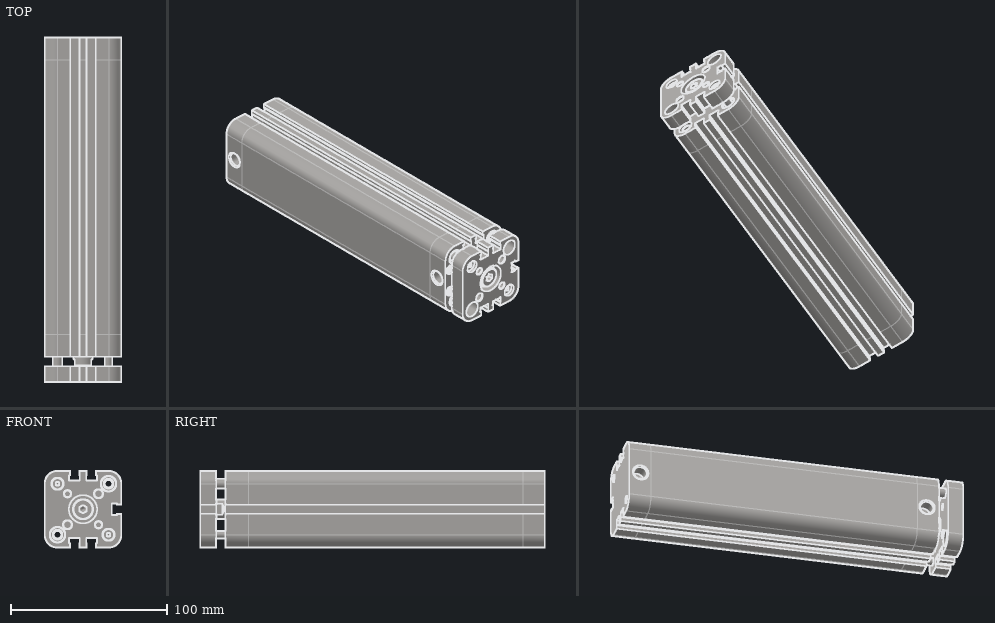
import cadquery as cq
import math

length = 220.2
side = 49.0
corner_radius = 8.1
half_length = length / 2
half_side = side / 2

plate_thickness = 10.1
plate_gap = 6.0
front_cap_length = 14.5
rear_cap_length = 14.0
front_face = -half_length
plate_back = front_face + plate_thickness
cap_face = plate_back + plate_gap
front_joint = cap_face + front_cap_length
rear_face = half_length
rear_joint = rear_face - rear_cap_length

slot_mouth = 6.0
slot_depth = 6.2
slot_lip = 2.9
slot_undercut = 0.7
rib_undercut = 0.2
twin_slot_offset = 5.3

corner_offset = 16.3
guide_rod_diameters = {(-1, 1): 6.4, (1, -1): 5.0}
tie_bolt_corners = [(1, 1), (-1, -1)]

rod_seal_diameter = 9.5
rod_seal_depth = 1.0
plate_screw_bore = 8.0
plate_screw_bore_depth = 4.5
plate_screw_head = 7.0
plate_screw_recess = 1.8
plate_screw_socket = 2.5
plate_screw_socket_depth = 1.8

access_hole = 10.1
bolt_bore = 9.5
bolt_bore_depth = 4.5
bolt_head = 6.4
bolt_recess = 1.0
bolt_hole = 4.8

cap_screw_x = -20.3
cap_screw_z = 8.1
cap_screw_bore = 6.4
cap_screw_bore_depth = 3.3
cap_screw_head = 5.0
cap_screw_recess = 1.0
cap_screw_socket = 2.5
cap_screw_socket_depth = 1.3

small_hole_offset = 10.0
small_hole_diameters = {(-1, 1): 4.2, (1, -1): 4.2, (1, 1): 5.3, (-1, -1): 5.3}
small_hole_countersink = 0.33

rod_diameter = 12.5
rod_across_flats = 10.5
flat_start = 2.0
rod_end_chamfer = 0.5
recess_diameter = 18.0
recess_depth = 6.5
screw_head = 13.0
screw_head_recess = 1.0
screw_head_chamfer = 0.5
screw_socket = 4.6
screw_socket_depth = 3.3
drill_tip_angle = math.radians(118)

port_diameter = 8.5
port_chamfer = 0.9
port_depth = 10.0
port_passage = 2.5
port_passage_depth = 4.5
port_passage_shift = 2.0
front_port_y = front_face + 24.0
rear_port_y = rear_face - 7.5


def corner(signs, offset):
    """X and Z of a point in the corner given by the signs."""
    return signs[0] * offset, signs[1] * offset


def cylinder(diameter, y_start, y_end, x=0.0, z=0.0):
    """Round bar along Y between two stations."""
    base = cq.Vector(x, y_start, z)
    return cq.Workplane(cq.Solid.makeCylinder(diameter / 2, y_end - y_start, base, cq.Vector(0, 1, 0)))


def cone(start_diameter, end_diameter, y_start, y_end, x=0.0, z=0.0):
    """Tapered round bar along Y between two stations."""
    base = cq.Vector(x, y_start, z)
    axis = cq.Vector(0, 1, 0)
    return cq.Workplane(cq.Solid.makeCone(start_diameter / 2, end_diameter / 2, y_end - y_start, base, axis))


def hex_socket(across_flats, y_start, depth, x=0.0, z=0.0):
    """Hexagonal recess, corners up and down, ending in a drill point."""
    hex_corner_radius = across_flats / 2 / math.cos(math.pi / 6)
    angles = [math.pi / 6 + i * math.pi / 3 for i in range(6)]
    points = [(hex_corner_radius * math.cos(a), hex_corner_radius * math.sin(a)) for a in angles]
    floor_y = y_start + depth
    tip_length = across_flats / 2 / math.tan(drill_tip_angle / 2)
    prism = cq.Workplane("XZ").polyline(points).close().extrude(-depth).translate((x, y_start, z))
    return prism.union(cone(across_flats, 0, floor_y, floor_y + tip_length, x, z))


def socket_screw_head(diameter, socket, socket_depth, y_face, y_end, x=0.0, z=0.0):
    """Screw head facing -Y with a hexagonal socket."""
    return cylinder(diameter, y_face, y_end, x, z).cut(hex_socket(socket, y_face, socket_depth, x, z))


def slot(left_undercut, right_undercut):
    """T-slot along the full length, opening at the +Z face."""
    half_mouth = slot_mouth / 2
    lip_z = half_side - slot_lip
    floor_z = half_side - slot_depth
    outline = [
        (-half_mouth, half_side),
        (-half_mouth, lip_z),
        (-half_mouth - left_undercut, lip_z),
        (-half_mouth - left_undercut, floor_z),
        (half_mouth + right_undercut, floor_z),
        (half_mouth + right_undercut, lip_z),
        (half_mouth, lip_z),
        (half_mouth, half_side),
    ]
    return cq.Workplane("XZ").polyline(outline).close().extrude(half_length, both=True)


def all_slots():
    """Twin slots on the top and bottom, one single slot on the +X side."""
    right_twin = slot(rib_undercut, slot_undercut).translate((twin_slot_offset, 0, 0))
    top_twins = right_twin.union(right_twin.mirror("YZ"))
    single = slot(slot_undercut, slot_undercut).rotate((0, 0, 0), (0, 1, 0), 90)
    return top_twins.union(top_twins.mirror("XY")).union(single)


def rounded_bar(y_start, y_end):
    """Stretch of the square profile with rounded corners."""
    bar = cq.Workplane("XY").box(side, y_end - y_start, side).edges("|Y").fillet(corner_radius)
    return bar.translate((0, (y_start + y_end) / 2, 0))


def air_port(y, passage_shift):
    """Chamfered port sunk into the -X face, with an off-centre passage in its floor."""
    port = cylinder(port_diameter, 0, port_depth)
    port = port.union(cone(port_diameter + 2 * port_chamfer, port_diameter, 0, port_chamfer))
    port = port.union(cylinder(port_passage, port_depth, port_depth + port_passage_depth, -passage_shift))
    return port.rotate((0, 0, 0), (0, 0, 1), -90).translate((-half_side, y, 0))


def front_plate():
    """Plate with its small holes, access holes, and screws in the centre and over the rods."""
    plate = rounded_bar(front_face, plate_back).cut(all_slots())
    for signs, diameter in small_hole_diameters.items():
        x, z = corner(signs, small_hole_offset)
        rim = diameter + 2 * small_hole_countersink
        plate = plate.cut(cylinder(diameter, front_face, plate_back, x, z))
        plate = plate.cut(cone(rim, diameter, front_face, front_face + small_hole_countersink, x, z))
    for signs in tie_bolt_corners:
        plate = plate.cut(cylinder(access_hole, front_face, plate_back, *corner(signs, corner_offset)))
    for signs in guide_rod_diameters:
        x, z = corner(signs, corner_offset)
        bore_floor = front_face + plate_screw_bore_depth
        head_face = front_face + plate_screw_recess
        plate = plate.cut(cylinder(plate_screw_bore, front_face, bore_floor, x, z))
        plate = plate.union(socket_screw_head(
            plate_screw_head, plate_screw_socket, plate_screw_socket_depth, head_face, bore_floor, x, z))
    recess_floor = front_face + recess_depth
    head_face = front_face + screw_head_recess
    plate = plate.cut(cylinder(recess_diameter, front_face, recess_floor))
    head = socket_screw_head(screw_head, screw_socket, screw_socket_depth, head_face, recess_floor)
    rim_cut = cylinder(screw_head, head_face, head_face + screw_head_chamfer).cut(
        cone(screw_head - 2 * screw_head_chamfer, screw_head, head_face, head_face + screw_head_chamfer))
    return plate.union(head.cut(rim_cut))


def tie_bolt_cut(x, z):
    """Hole along the whole body with a counterbore around the hollow bolt head."""
    bore_floor = cap_face + bolt_bore_depth
    bore = cylinder(bolt_bore, cap_face, bore_floor, x, z)
    head = cylinder(bolt_head, cap_face + bolt_recess, bore_floor, x, z)
    return bore.cut(head).union(cylinder(bolt_hole, cap_face, rear_face, x, z))


def cap_screw_cut(z):
    """Counterbore around a small sunk socket screw in the front cap."""
    bore_floor = cap_face + cap_screw_bore_depth
    head_face = cap_face + cap_screw_recess
    bore = cylinder(cap_screw_bore, cap_face, bore_floor, cap_screw_x, z)
    return bore.cut(socket_screw_head(
        cap_screw_head, cap_screw_socket, cap_screw_socket_depth, head_face, bore_floor, cap_screw_x, z))


def body():
    """Front cap, tube and rear cap with the slots, ports, bolts and rod seals."""
    shape = rounded_bar(cap_face, front_joint)
    shape = shape.union(rounded_bar(front_joint, rear_joint), clean=False)
    shape = shape.union(rounded_bar(rear_joint, rear_face), clean=False)
    cuts = [all_slots(), air_port(front_port_y, port_passage_shift), air_port(rear_port_y, -port_passage_shift)]
    cuts += [tie_bolt_cut(*corner(signs, corner_offset)) for signs in tie_bolt_corners]
    cuts += [cap_screw_cut(z) for z in (cap_screw_z, -cap_screw_z)]
    for signs in guide_rod_diameters:
        x, z = corner(signs, corner_offset)
        cuts.append(cylinder(rod_seal_diameter, cap_face, cap_face + rod_seal_depth, x, z))
    for cut in cuts:
        shape = shape.cut(cut, clean=False)
    return shape


def piston_rod():
    """Rod from plate to cap, with two flats facing -X and +X that run out at 45 degrees."""
    rod = cylinder(rod_diameter, plate_back, cap_face).faces("<Y").chamfer(rod_end_chamfer)
    half_flats = rod_across_flats / 2
    flat_end = cap_face - flat_start
    run_out = rod_diameter - half_flats
    outline = [
        (half_flats, plate_back),
        (half_flats, flat_end),
        (half_flats + run_out, flat_end + run_out),
        (half_flats + run_out, plate_back),
    ]
    flat = cq.Workplane("XY").polyline(outline).close().extrude(rod_diameter, both=True)
    return rod.cut(flat).cut(flat.mirror("YZ"))


result = body().union(front_plate(), clean=False).union(piston_rod(), clean=False)
for signs, diameter in guide_rod_diameters.items():
    guide_rod = cylinder(diameter, plate_back, cap_face + rod_seal_depth, *corner(signs, corner_offset))
    result = result.union(guide_rod, clean=False)